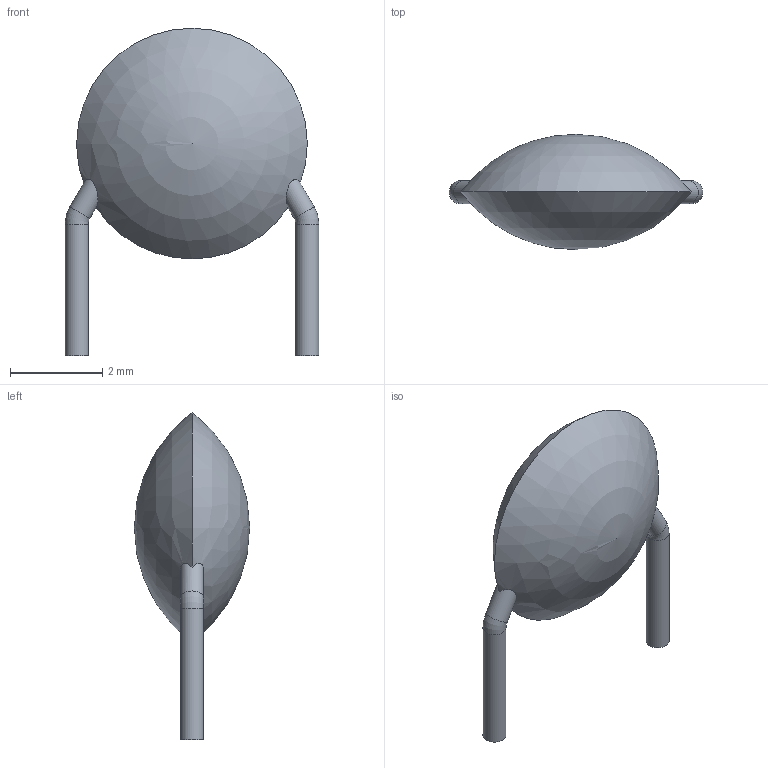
import cadquery as cq
import math

body_diameter = 5.0
body_thickness = 2.5
body_radius = body_diameter / 2
half_thickness = body_thickness / 2
body_center_z = body_radius
body_seam_angle = 180.0

lead_diameter = 0.5
lead_spacing = 5.0
lead_bottom_z = -2.1
bend_start_z = 0.75
bend_radius = 0.5
bend_angle = 30.0
buried_length = 1.0


def make_body():
    """Revolve half of the lens section about Y, then lift it to its height."""
    arc_radius = (body_radius**2 + half_thickness**2) / (2 * half_thickness)
    mid_angle = math.asin(body_radius / arc_radius) / 2
    mid_x = arc_radius * math.sin(mid_angle)
    mid_y = half_thickness - arc_radius * (1 - math.cos(mid_angle))
    return (
        cq.Workplane("XY")
        .moveTo(0, -half_thickness)
        .threePointArc((mid_x, -mid_y), (body_radius, 0))
        .threePointArc((mid_x, mid_y), (0, half_thickness))
        .close()
        .revolve(axisStart=(0, 0, 0), axisEnd=(0, 1, 0))
        .rotate((0, 0, 0), (0, 1, 0), body_seam_angle)
        .translate((0, 0, body_center_z))
    )


def make_lead(side):
    """Sweep one lead; side is -1 for the -X lead and +1 for the +X lead."""
    angle = math.radians(bend_angle)
    lead_x = side * lead_spacing / 2

    def bend_point(turn):
        x = lead_x - side * bend_radius * (1 - math.cos(turn))
        z = bend_start_z + bend_radius * math.sin(turn)
        return (x, z)

    bend_end = bend_point(angle)
    tip = (
        bend_end[0] - side * buried_length * math.sin(angle),
        bend_end[1] + buried_length * math.cos(angle),
    )
    path = (
        cq.Workplane("XZ")
        .moveTo(lead_x, lead_bottom_z)
        .lineTo(lead_x, bend_start_z)
        .threePointArc(bend_point(angle / 2), bend_end)
        .lineTo(*tip)
    )
    section_plane = cq.Plane(origin=(lead_x, 0, lead_bottom_z), xDir=(0, 1, 0), normal=(0, 0, 1))
    return (
        cq.Workplane(section_plane)
        .circle(lead_diameter / 2)
        .sweep(path)
    )


result = make_body()
for lead_side in (-1, 1):
    result = result.union(make_lead(lead_side))